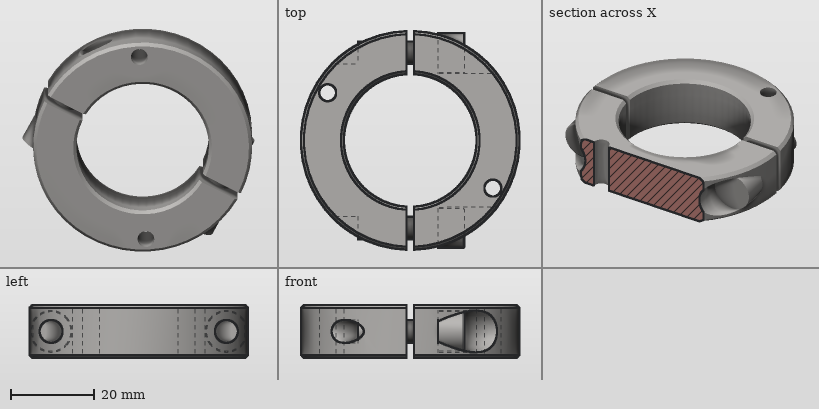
import cadquery as cq
import math

outer_diameter = 52.45
bore_diameter = 31.75
collar_width = 12.7
edge_chamfer = 0.75
split_gap = 1.75

screw_offset = 21.0
shank_diameter = 5.5
shank_end_x = -12.5
head_diameter = 9.5
head_seat_x = 6.65
head_end_x = 12.95
head_edge_radius = 0.4
counterbore_diameter = 10.0

pin_hole_diameter = 4.0
pin_circle_radius = 22.85
pin_hole_angles = (150, 330)


def rod_along_x(start_x, end_x, diameter, y):
    """Cylinder parallel to X at mid-width of the collar."""
    return (
        cq.Workplane("YZ", origin=(start_x, y, 0))
        .circle(diameter / 2)
        .extrude(end_x - start_x)
    )


def make_ring():
    """Full ring with chamfered outer and bore edges."""
    return (
        cq.Workplane("XY", origin=(0, 0, -collar_width / 2))
        .circle(outer_diameter / 2)
        .circle(bore_diameter / 2)
        .extrude(collar_width)
        .edges("%CIRCLE")
        .chamfer(edge_chamfer)
    )


def cut_split(ring):
    """Separate the ring into two halves along the YZ plane."""
    return ring.cut(cq.Workplane("XY").box(split_gap, outer_diameter, collar_width))


def cut_pin_holes(ring):
    """Drill the pin holes through the full width."""
    for angle in pin_hole_angles:
        x = pin_circle_radius * math.cos(math.radians(angle))
        y = pin_circle_radius * math.sin(math.radians(angle))
        hole = (
            cq.Workplane("XY", origin=(x, y, -collar_width / 2))
            .circle(pin_hole_diameter / 2)
            .extrude(collar_width)
        )
        ring = ring.cut(hole)
    return ring


def cut_screw_hole(ring, y):
    """Screw bore across both halves, with a counterbore open on the +X side."""
    bore = rod_along_x(-outer_diameter / 2, head_seat_x, shank_diameter, y)
    counterbore = rod_along_x(head_seat_x, outer_diameter / 2, counterbore_diameter, y)
    return ring.cut(bore).cut(counterbore)


def make_screw(y, rounded_rim):
    """Screw with its head on the +X side; the rim of the head is rounded or left sharp."""
    shank = rod_along_x(shank_end_x, head_seat_x, shank_diameter, y)
    head = rod_along_x(head_seat_x, head_end_x, head_diameter, y)
    if rounded_rim:
        head = head.faces(">X").edges().fillet(head_edge_radius)
    return shank.union(head)


collar = cut_pin_holes(cut_split(make_ring()))

for screw_y, rounded_rim in ((-screw_offset, True), (screw_offset, False)):
    collar = cut_screw_hole(collar, screw_y).union(make_screw(screw_y, rounded_rim))

result = collar